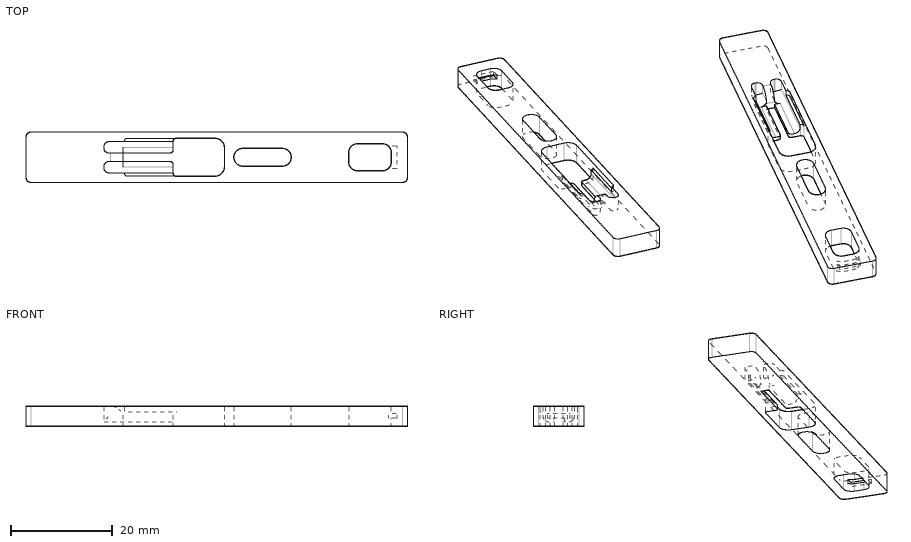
import cadquery as cq

length = 75.0
width = 10.0
height = 4.0
corner_radius = 1.05
top = height / 2
bottom = -height / 2

slot_start, slot_end = 3.4, 14.6
slot_width = 3.45
window_start, window_end = 25.95, 34.3
window_width = 5.25
window_radius = 1.65

notch_width = 4.35
notch_height = 0.9
notch_depth = 1.1
notch_floor = -0.4

opening_start, opening_end = -18.15, 1.5
opening_width = 7.4
opening_radius = 1.9
step_radius = 0.6
arm_end = -8.55
arm_tip_radius = 0.6
ledge_drop = 1.1

groove_start = -22.2
groove_radius = 1.1
groove_end_radius = 1.05
groove_offset = 1.95
groove_floor = -1.1
gap_start = -18.4
gap_width = 2 * (groove_offset - groove_radius)
web_round_radius = 2.5


def block(x_start, x_end, y_start, y_end, z_start, z_end):
    """Box given by its limits along each axis."""
    size = (x_end - x_start, y_end - y_start, z_end - z_start)
    return cq.Workplane("XY").box(*size, centered=False).translate((x_start, y_start, z_start))


def centred_block(x_start, x_end, y_size, z_start=bottom, z_end=top):
    """Box symmetric about the bar's long axis."""
    return block(x_start, x_end, -y_size / 2, y_size / 2, z_start, z_end)


def groove(side):
    """Upright slot cutter with a rounded front end and a rounded bottom."""
    y = side * groove_offset
    axis_height = groove_floor + groove_radius
    run = arm_end - groove_start
    bottom_round = (
        cq.Workplane("YZ", origin=(groove_start, y, axis_height)).circle(groove_radius).extrude(run)
    )
    upper = block(groove_start, arm_end, y - groove_radius, y + groove_radius, axis_height, top)
    outline = block(groove_start, arm_end, y - groove_radius, y + groove_radius, bottom, top)
    outline = outline.edges("|Z and <X").fillet(groove_end_radius)
    return bottom_round.union(upper).intersect(outline)


def arm_opening():
    """Everything removed between and above the two arms."""
    clear = centred_block(arm_end, opening_end, opening_width)
    clear = clear.edges("|Z and >X").fillet(opening_radius)
    clear = clear.edges("|Z and <X").fillet(step_radius)
    above_ledges = centred_block(
        opening_start, arm_end + step_radius, opening_width, top - ledge_drop, top
    )
    above_ledges = above_ledges.edges("|Z and <X").fillet(step_radius)
    above_arms = centred_block(gap_start, arm_end, 2 * groove_offset, groove_floor, top)
    gap = centred_block(gap_start, arm_end, gap_width)
    cutter = clear.union(above_ledges).union(above_arms).union(gap)
    for side in (1, -1):
        cutter = cutter.union(groove(side))
    return cutter


def web_rounding():
    """Material removed to roll the web's top edge down towards the gap."""
    start = gap_start - web_round_radius
    corner = centred_block(start, gap_start, gap_width, top - web_round_radius, top)
    roll = (
        cq.Workplane("XZ", origin=(start, gap_width / 2, top - web_round_radius))
        .circle(web_round_radius)
        .extrude(gap_width)
    )
    return corner.cut(roll)


def arm_tip_rounding(side):
    """Material removed to round the inner vertical edge of an arm's tip."""
    start = arm_end - arm_tip_radius
    inner = side * gap_width / 2
    centre = inner + side * arm_tip_radius
    corner = block(start, arm_end, min(inner, centre), max(inner, centre), bottom, top)
    roll = cq.Workplane("XY", origin=(start, centre, bottom)).circle(arm_tip_radius).extrude(height)
    return corner.cut(roll)


bar = cq.Workplane("XY").box(length, width, height).edges("|Z").fillet(corner_radius)

slot = (
    cq.Workplane("XY", origin=((slot_start + slot_end) / 2, 0, bottom))
    .slot2D(slot_end - slot_start, slot_width)
    .extrude(height)
)
window = centred_block(window_start, window_end, window_width).edges("|Z").fillet(window_radius)
notch = centred_block(
    window_end - window_radius,
    window_end + notch_depth,
    notch_width,
    notch_floor,
    notch_floor + notch_height,
)

result = bar.cut(slot).cut(window).cut(notch).cut(arm_opening()).cut(web_rounding())
for tip_side in (1, -1):
    result = result.cut(arm_tip_rounding(tip_side))